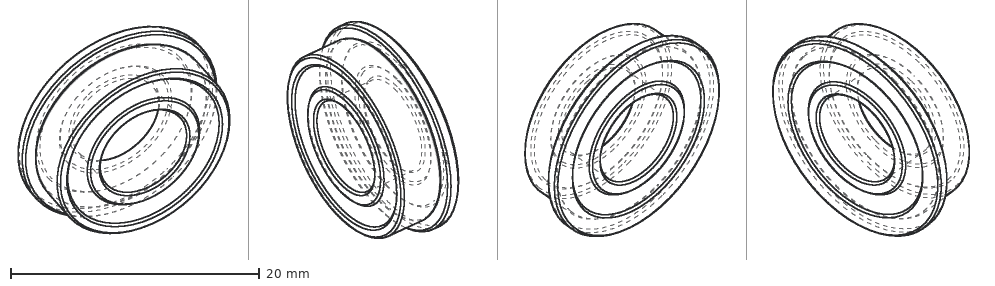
import cadquery as cq
import math

flange_radius = 9.0
body_radius = 8.0
bore_radius = 4.0
width = 5.0
flange_width = 1.1
edge_chamfer = 0.2

relief_width = 0.07
relief_depth = 0.1
relief_radius = body_radius - relief_depth
relief_end = flange_width + relief_width

shoulder_round = 0.2
shoulder_length = math.sqrt(shoulder_round**2 - (shoulder_round - relief_depth) ** 2)

recess_outer_radius = 7.2
recess_inner_radius = 5.0
recess_depth = 0.2


def revolve_about_x(profile):
    """Revolve a closed profile (x, radius) a full turn about the X axis."""
    return profile.close().revolve(360, (0, 0, 0), (1, 0, 0))


def make_blank():
    """Flange, body and bore with chamfered edges, relief and rounded shoulder."""
    profile = (
        cq.Workplane("XY")
        .moveTo(0, bore_radius + edge_chamfer)
        .lineTo(0, flange_radius - edge_chamfer)
        .lineTo(edge_chamfer, flange_radius)
        .lineTo(flange_width - edge_chamfer, flange_radius)
        .lineTo(flange_width, flange_radius - edge_chamfer)
        .lineTo(flange_width, relief_radius)
        .lineTo(relief_end, relief_radius)
        .radiusArc((relief_end + shoulder_length, body_radius), shoulder_round)
        .lineTo(width - edge_chamfer, body_radius)
        .lineTo(width, body_radius - edge_chamfer)
        .lineTo(width, bore_radius + edge_chamfer)
        .lineTo(width - edge_chamfer, bore_radius)
        .lineTo(edge_chamfer, bore_radius)
    )
    return revolve_about_x(profile)


def make_recess(face_x, inward):
    """Ring recess with 45 degree walls; inward is the X direction into the part."""
    floor_x = face_x + inward * recess_depth
    profile = cq.Workplane("XY").polyline([
        (face_x, recess_inner_radius),
        (face_x, recess_outer_radius),
        (floor_x, recess_outer_radius - recess_depth),
        (floor_x, recess_inner_radius + recess_depth),
    ])
    return revolve_about_x(profile)


result = make_blank()
for face_x, inward in ((0, 1), (width, -1)):
    result = result.cut(make_recess(face_x, inward))